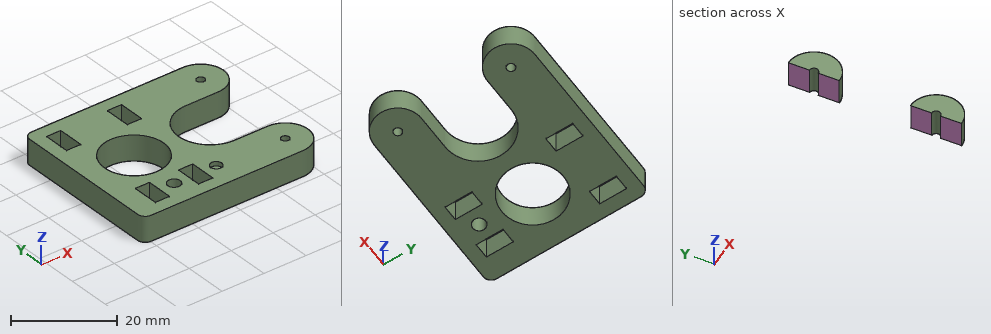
import cadquery as cq

length = 43.35
width = 36.5
thickness = 5.85
corner_radius = 1.8

slot_radius = 7.5
slot_center_x = 30.1
prong_radius = (width / 2 - slot_radius) / 2
prong_center_x = length - prong_radius
prong_center_y = slot_radius + prong_radius
prong_hole_diameter = 1.8

bore_diameter = 14.05
bore_x = 12.0
row_offset = 12.18
window_length = 3.4
window_width = 6.1
upper_window_spacing = 14.47
lower_window_spacing = 10.3
through_hole_diameter = 2.9
blind_hole_diameter = 2.55
blind_hole_depth = 1.0
blind_hole_spacing = 10.05


def make_plate():
    half_width = width / 2
    outline = (
        cq.Workplane("XY")
        .moveTo(0, -half_width)
        .lineTo(prong_center_x, -half_width)
        .threePointArc((length, -prong_center_y), (prong_center_x, -slot_radius))
        .lineTo(slot_center_x, -slot_radius)
        .threePointArc((slot_center_x - slot_radius, 0), (slot_center_x, slot_radius))
        .lineTo(prong_center_x, slot_radius)
        .threePointArc((length, prong_center_y), (prong_center_x, half_width))
        .lineTo(0, half_width)
        .close()
    )
    return outline.extrude(thickness).edges("|Z and <X").fillet(corner_radius)


def round_cutter(x, y, diameter, depth=thickness):
    """Cylinder reaching down from the top face."""
    top = cq.Workplane("XY").workplane(offset=thickness)
    return top.center(x, y).circle(diameter / 2).extrude(-depth)


def window_pair(y, spacing):
    """Two rectangular through windows, equally far from the bore axis in X."""
    centers = [(bore_x - spacing / 2, y), (bore_x + spacing / 2, y)]
    return cq.Workplane("XY").pushPoints(centers).rect(window_length, window_width).extrude(thickness)


result = make_plate()
result = result.cut(round_cutter(bore_x, 0, bore_diameter))

for side in (-1, 1):
    result = result.cut(round_cutter(prong_center_x, side * prong_center_y, prong_hole_diameter))

result = result.cut(window_pair(row_offset, upper_window_spacing))
result = result.cut(window_pair(-row_offset, lower_window_spacing))

result = result.cut(round_cutter(bore_x, -row_offset, through_hole_diameter))
blind_hole_x = bore_x + blind_hole_spacing
result = result.cut(round_cutter(blind_hole_x, -row_offset, blind_hole_diameter, blind_hole_depth))